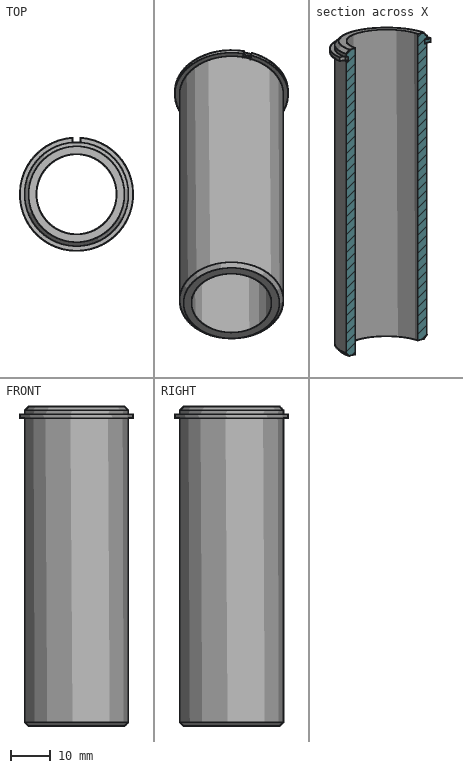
import cadquery as cq

sleeve_length = 80.0
sleeve_diameter = 26.0
bore_diameter = 20.0
end_chamfer = 1.0

ring_outer_diameter = 28.4
ring_inner_diameter = 24.8
ring_thickness = 1.0
ring_gap = 2.0
ring_top_setback = 1.9
ring_bottom = sleeve_length - ring_top_setback - ring_thickness


def annulus(outer_diameter, inner_diameter, height, bottom):
    """Flat-ended tube around the Z axis, starting at height `bottom`."""
    return (
        cq.Workplane("XY", origin=(0, 0, bottom))
        .circle(outer_diameter / 2)
        .circle(inner_diameter / 2)
        .extrude(height)
    )


def make_sleeve():
    """Plain bushing with chamfered outer ends and a groove for the snap ring."""
    blank = (
        cq.Workplane("XY")
        .circle(sleeve_diameter / 2)
        .extrude(sleeve_length)
        .faces("<Z or >Z")
        .chamfer(end_chamfer)
    )
    bore = cq.Workplane("XY").circle(bore_diameter / 2).extrude(sleeve_length)
    groove = annulus(ring_outer_diameter, ring_inner_diameter, ring_thickness, ring_bottom)
    return blank.cut(bore).cut(groove)


def make_snap_ring():
    """Flat ring split by a parallel-sided gap on the +Y side."""
    ring = annulus(ring_outer_diameter, ring_inner_diameter, ring_thickness, ring_bottom)
    gap = cq.Workplane("XY", origin=(0, 0, ring_bottom)).box(
        ring_gap, ring_outer_diameter / 2, ring_thickness, centered=(True, False, False)
    )
    return ring.cut(gap)


sleeve = make_sleeve()
snap_ring = make_snap_ring()

result = cq.Compound.makeCompound([sleeve.val(), snap_ring.val()])